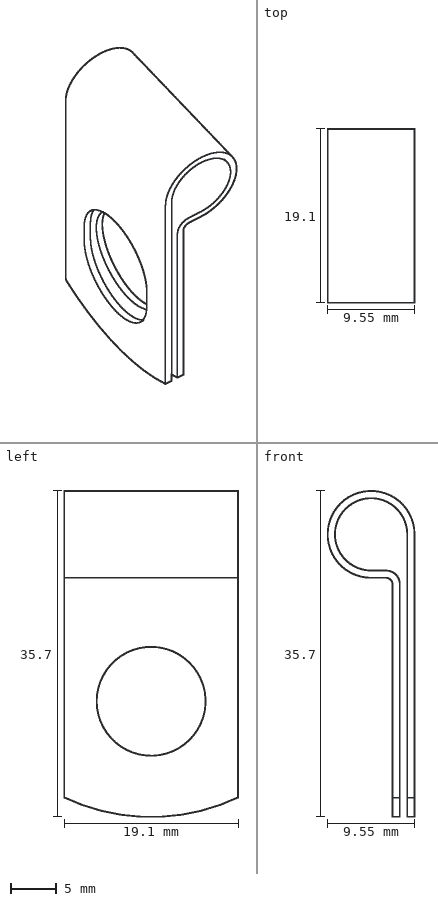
import cadquery as cq

height = 35.7
width = 19.05
loop_diameter = 9.55

thickness = 0.82
leg_gap = 0.8
bend_inner_radius = 0.7

hole_diameter = 11.9
hole_height = 12.68
slot_straight_length = 2.4
end_rise = 2.15

loop_radius = loop_diameter / 2
bore_radius = loop_radius - thickness
loop_z = height - loop_radius
bend_outer_radius = bend_inner_radius + thickness
short_leg_outer_x = bore_radius - leg_gap
gap_middle_x = bore_radius - leg_gap / 2
short_leg_inner_x = short_leg_outer_x - thickness
bend_x = short_leg_outer_x - bend_outer_radius
bend_z = loop_z - bore_radius - bend_outer_radius


def arc_to(path, center_x, center_z, radius, direction_x, direction_z, end):
    """Add an arc that passes its circle in the given unit direction."""
    middle = (center_x + radius * direction_x, center_z + radius * direction_z)
    return path.threePointArc(middle, end)


def bent_strip():
    """Strip with a long leg, a three-quarter loop, a bend and a short leg."""
    diagonal = 0.5 ** 0.5
    path = cq.Workplane("XZ").moveTo(loop_radius, 0).lineTo(loop_radius, loop_z)
    path = arc_to(path, 0, loop_z, loop_radius, -diagonal, diagonal, (0, loop_z - loop_radius))
    path = path.lineTo(bend_x, loop_z - loop_radius)
    path = arc_to(path, bend_x, bend_z, bend_inner_radius, diagonal, diagonal, (short_leg_inner_x, bend_z))
    path = path.lineTo(short_leg_inner_x, 0).lineTo(short_leg_outer_x, 0)
    path = path.lineTo(short_leg_outer_x, bend_z)
    path = arc_to(path, bend_x, bend_z, bend_outer_radius, diagonal, diagonal, (bend_x, loop_z - bore_radius))
    path = path.lineTo(0, loop_z - bore_radius)
    path = arc_to(path, 0, loop_z, bore_radius, -diagonal, diagonal, (bore_radius, loop_z))
    path = path.lineTo(bore_radius, 0).close()
    return path.extrude(width / 2, both=True)


def side_outline():
    """Block across X that trims the lower end of both legs to an arc."""
    return (
        cq.Workplane("YZ")
        .moveTo(-width / 2, end_rise)
        .threePointArc((0, 0), (width / 2, end_rise))
        .lineTo(width / 2, height)
        .lineTo(-width / 2, height)
        .close()
        .extrude(loop_diameter, both=True)
    )


def short_leg_hole():
    """Cylinder along X through the short leg, ending in the gap between the legs."""
    return (
        cq.Workplane("YZ", origin=(gap_middle_x, 0, hole_height))
        .circle(hole_diameter / 2)
        .extrude(-loop_diameter)
    )


def long_leg_slot():
    """Slot as wide as the hole, stretched along Z, from the gap through the long leg."""
    return (
        cq.Workplane("YZ", origin=(gap_middle_x, 0, hole_height))
        .slot2D(hole_diameter + slot_straight_length, hole_diameter, angle=90)
        .extrude(loop_diameter)
    )


result = bent_strip().intersect(side_outline()).cut(short_leg_hole()).cut(long_leg_slot())